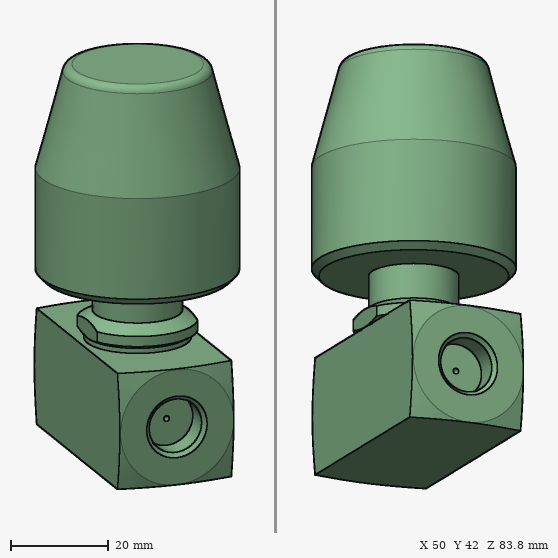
import cadquery as cq
import math

body_length = 50.0
body_side = 25.0
body_offset = -2.0
end_face_diameter = 24.8
end_cone_angle = 15

port_diameter = 11.5
port_mouth_diameter = 13.2
port_depth = 6.0

neck_diameter = 22.0
collar_diameter = 25.0
collar_bottom = 26.9
collar_top = 29.1
collar_cone_angle = 30
collar_across_flats = neck_diameter
stem_diameter = 18.5

total_height = 83.8
knob_diameter = 42.0
knob_bottom = 38.3
knob_chamfer = 1.5
knob_taper_start = 61.5
knob_taper_angle = 15
knob_top_fillet = 2.0


def slope(angle):
    return math.tan(math.radians(angle))


def make_body():
    block = cq.Workplane("XY").box(body_length, body_side, body_side)
    end_radius = end_face_diameter / 2
    half_length = body_length / 2
    middle_radius = end_radius + half_length / slope(end_cone_angle)
    envelope = (
        cq.Workplane("XY")
        .polyline([(-half_length, 0), (-half_length, end_radius), (0, middle_radius),
                   (half_length, end_radius), (half_length, 0)])
        .close()
        .revolve(360, (0, 0, 0), (1, 0, 0))
    )
    body = block.intersect(envelope)
    for end in ("<X", ">X"):
        body = (
            body.faces(end).workplane(centerOption="CenterOfBoundBox")
            .cskHole(port_diameter, port_mouth_diameter, 90, depth=port_depth)
        )
    return body.translate((body_offset, 0, body_side / 2))


def make_collar():
    neck_radius = neck_diameter / 2
    collar_radius = collar_diameter / 2
    stem_radius = stem_diameter / 2
    lower_cone_height = (collar_radius - neck_radius) * slope(collar_cone_angle)
    upper_cone_height = (collar_radius - stem_radius) * slope(collar_cone_angle)
    collar = (
        cq.Workplane("XZ")
        .polyline([(0, body_side), (neck_radius, body_side),
                   (neck_radius, collar_bottom - lower_cone_height),
                   (collar_radius, collar_bottom), (collar_radius, collar_top),
                   (stem_radius, collar_top + upper_cone_height),
                   (0, collar_top + upper_cone_height)])
        .close()
        .revolve(360, (0, 0, 0), (0, 1, 0))
    )
    flats = cq.Workplane("XY").box(collar_diameter, collar_across_flats, 2 * total_height)
    return collar.intersect(flats)


def make_stem():
    return (
        cq.Workplane("XY").workplane(offset=collar_top)
        .circle(stem_diameter / 2).extrude(knob_bottom - collar_top)
    )


def make_knob():
    knob_radius = knob_diameter / 2
    top_radius = knob_radius - (total_height - knob_taper_start) * slope(knob_taper_angle)
    knob = (
        cq.Workplane("XZ")
        .polyline([(0, knob_bottom), (knob_radius - knob_chamfer, knob_bottom),
                   (knob_radius, knob_bottom + knob_chamfer),
                   (knob_radius, knob_taper_start),
                   (top_radius, total_height), (0, total_height)])
        .close()
        .revolve(360, (0, 0, 0), (0, 1, 0))
    )
    return knob.faces(">Z").edges().fillet(knob_top_fillet)


result = make_body().union(make_collar()).union(make_stem()).union(make_knob())